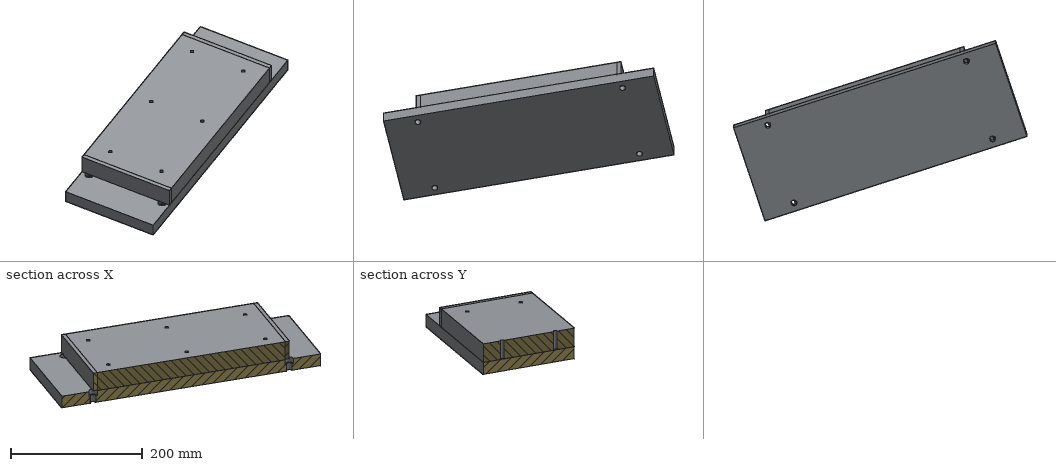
import cadquery as cq

WIDTH = 152.4
BASE_LENGTH = 419.1
BASE_THICKNESS = 20.42
TOTAL_HEIGHT = 50.8

BLOCK_HEIGHT = TOTAL_HEIGHT - BASE_THICKNESS
BLOCK_LENGTH = 304.8
END_PLATE_THICKNESS = 6.35
COVERED_LENGTH = BLOCK_LENGTH + 2 * END_PLATE_THICKNESS

MOUNT_SPACING_X = 127.0
MOUNT_SPACING_Y = COVERED_LENGTH
MOUNT_COLUMNS = 2
MOUNT_ROWS = 2
MOUNT_HOLE_DIAMETER = 8.65
COUNTERBORE_DIAMETER = 12.7
COUNTERBORE_DEPTH = 8.65

BLOCK_HOLE_DIAMETER = 5.2
BLOCK_HOLE_SPACING_X = 88.9
BLOCK_HOLE_PITCH_Y = 127.0
BLOCK_HOLE_COLUMNS = 2
BLOCK_HOLE_ROWS = 3


def make_base():
    """Flat plate with four counterbored through holes."""
    plate = cq.Workplane("XY").box(WIDTH, BASE_LENGTH, BASE_THICKNESS, centered=(True, True, False))
    return (
        plate.faces(">Z")
        .workplane()
        .rarray(MOUNT_SPACING_X, MOUNT_SPACING_Y, MOUNT_COLUMNS, MOUNT_ROWS)
        .cboreHole(MOUNT_HOLE_DIAMETER, COUNTERBORE_DIAMETER, COUNTERBORE_DEPTH)
    )


def make_block():
    """Block on top of the base, drilled through from top to bottom."""
    block = (
        cq.Workplane("XY")
        .workplane(offset=BASE_THICKNESS)
        .box(WIDTH, BLOCK_LENGTH, BLOCK_HEIGHT, centered=(True, True, False))
    )
    return (
        block.faces(">Z")
        .workplane()
        .rarray(BLOCK_HOLE_SPACING_X, BLOCK_HOLE_PITCH_Y, BLOCK_HOLE_COLUMNS, BLOCK_HOLE_ROWS)
        .hole(BLOCK_HOLE_DIAMETER)
    )


def make_end_plate(side):
    """Plate against one end of the block; side is -1 for the -Y end and +1 for the +Y end."""
    center_y = side * (BLOCK_LENGTH + END_PLATE_THICKNESS) / 2
    return (
        cq.Workplane("XY", origin=(0, center_y, BASE_THICKNESS))
        .box(WIDTH, END_PLATE_THICKNESS, BLOCK_HEIGHT, centered=(True, True, False))
    )


base = make_base()
block = make_block()
end_plates = [make_end_plate(side) for side in (-1, 1)]

result = cq.Compound.makeCompound(
    [base.val(), block.val(), *[plate.val() for plate in end_plates]]
)